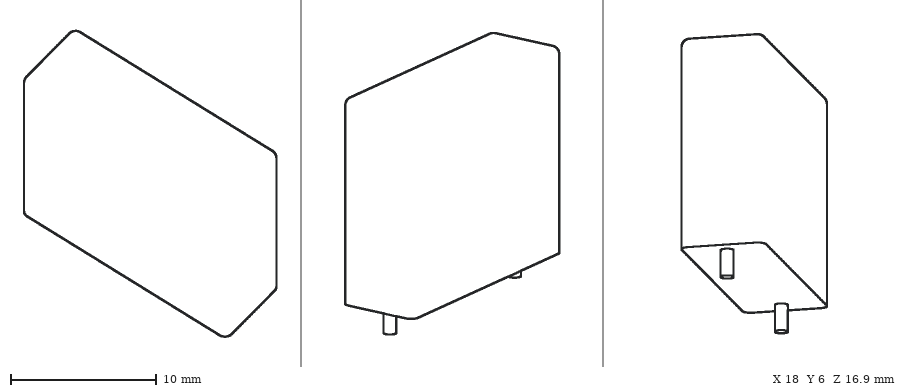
import cadquery as cq

body_length = 18.0
body_width = 6.0
body_height = 15.0
edge_radius = 0.6

pin_diameter = 0.9
pin_pitch = 15.0
pin_length = 1.9


def make_body():
    """Block with rounded upright and top edges and a sharp bottom rim."""
    block = cq.Workplane("XY").box(body_length, body_width, body_height, centered=(True, True, False))
    return block.edges("|Z or >Z").fillet(edge_radius)


def make_pins():
    """Pair of leads hanging from the underside, on the length axis."""
    return (
        cq.Workplane("XY")
        .pushPoints([(-pin_pitch / 2, 0), (pin_pitch / 2, 0)])
        .circle(pin_diameter / 2)
        .extrude(-pin_length)
    )


result = make_body().union(make_pins())